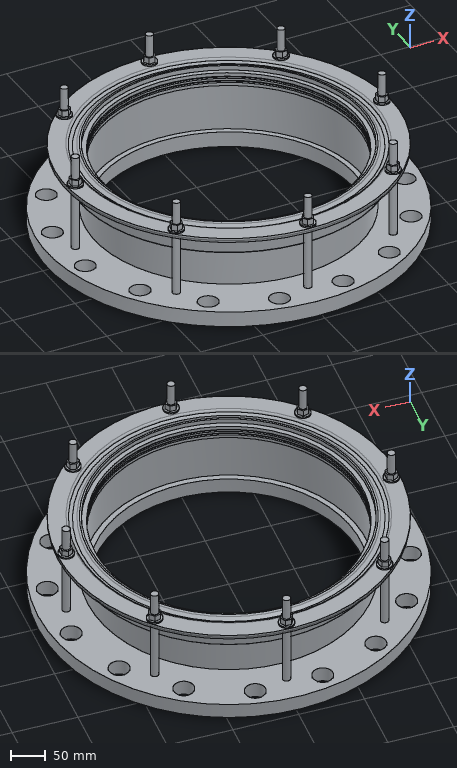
import cadquery as cq
import math

FLANGE_RADIUS = 290.0
FLANGE_THICKNESS = 25.0
BORE_RADIUS = 200.0
BOLT_HOLE_COUNT = 16
BOLT_HOLE_DIAMETER = 31.5
BOLT_HOLE_CIRCLE_RADIUS = 263.0

SLEEVE_INNER_RADIUS = 209.0
SLEEVE_OUTER_RADIUS = 214.0

BODY_BOTTOM_Z = 90.5
BODY_TOP_Z = 118.5
BODY_BOTTOM_RADIUS = 236.0
BODY_TOP_RADIUS = 238.0
BODY_CORNER = 2.0

RIM_PLATE_THICKNESS = 3.5
RIM_TOP_Z = 130.5
RIM_JOINT_Z = RIM_TOP_Z - RIM_PLATE_THICKNESS
RIM_BOTTOM_Z = RIM_JOINT_Z - RIM_PLATE_THICKNESS
RIM_RADIUS = 260.5
RIM_TAPER = 0.5
RIM_MOUTH_RADIUS = 229.5
RIM_FLARE = RIM_BOTTOM_Z - BODY_TOP_Z

CHANNEL_RADIUS = 224.0
CHANNEL_Z = 125.0
BEAD_SLOPE_RADIUS = 217.5
BEAD_SLOPE_Z = 129.0
BEAD_OUTER_RADIUS = 214.0
BEAD_INNER_RADIUS = 211.0
BEAD_TOP_Z = 130.0
LIP_RADIUS = 203.5
LIP_TOP_Z = 122.5
LIP_BOTTOM_Z = 101.0
LIP_GROOVE_HEIGHTS = (115.0, 108.0)
LIP_GROOVE_WIDTH = 3.5
LIP_GROOVE_DEPTH = 0.85

STUD_COUNT = 8
STUD_CIRCLE_RADIUS = 247.0
STUD_DIAMETER = 12.0
STUD_TOP_Z = 178.0
WASHER_DIAMETER = 24.0
WASHER_THICKNESS = 2.5
NUT_ACROSS_FLATS = 16.0
NUT_HEIGHT = 10.0


def make_housing():
    """Flange, sleeve, body, rim and gasket revolved as one section in (radius, height)."""
    arc_midpoint = math.sqrt(0.5)
    flare_radius = BODY_TOP_RADIUS + RIM_FLARE
    mouth_edge_radius = RIM_MOUTH_RADIUS + RIM_PLATE_THICKNESS
    channel_run = RIM_MOUTH_RADIUS - CHANNEL_RADIUS
    channel_drop = RIM_JOINT_Z - CHANNEL_Z

    section = (
        cq.Workplane("XZ")
        .moveTo(BORE_RADIUS, 0)
        .lineTo(FLANGE_RADIUS, 0)
        .lineTo(FLANGE_RADIUS, FLANGE_THICKNESS)
        .lineTo(SLEEVE_OUTER_RADIUS, FLANGE_THICKNESS)
        .lineTo(SLEEVE_OUTER_RADIUS, BODY_BOTTOM_Z)
        .lineTo(BODY_BOTTOM_RADIUS - BODY_CORNER, BODY_BOTTOM_Z)
        .lineTo(BODY_BOTTOM_RADIUS, BODY_BOTTOM_Z + BODY_CORNER)
        .lineTo(BODY_TOP_RADIUS, BODY_TOP_Z)
        .threePointArc(
            (flare_radius - RIM_FLARE * arc_midpoint, RIM_BOTTOM_Z - RIM_FLARE * (1 - arc_midpoint)),
            (flare_radius, RIM_BOTTOM_Z),
        )
        .lineTo(RIM_RADIUS - RIM_TAPER, RIM_BOTTOM_Z)
        .lineTo(RIM_RADIUS, RIM_JOINT_Z)
        .lineTo(RIM_RADIUS, RIM_TOP_Z)
        .lineTo(mouth_edge_radius, RIM_TOP_Z)
        .threePointArc(
            (
                mouth_edge_radius - RIM_PLATE_THICKNESS * arc_midpoint,
                RIM_JOINT_Z + RIM_PLATE_THICKNESS * arc_midpoint,
            ),
            (RIM_MOUTH_RADIUS, RIM_JOINT_Z),
        )
        .threePointArc(
            (CHANNEL_RADIUS + channel_run * arc_midpoint, RIM_JOINT_Z - channel_drop * arc_midpoint),
            (CHANNEL_RADIUS, CHANNEL_Z),
        )
        .lineTo(BEAD_SLOPE_RADIUS, BEAD_SLOPE_Z)
        .lineTo(BEAD_OUTER_RADIUS, BEAD_TOP_Z)
        .lineTo(BEAD_INNER_RADIUS, BEAD_TOP_Z)
        .lineTo(BEAD_INNER_RADIUS, LIP_TOP_Z)
        .lineTo(LIP_RADIUS, LIP_TOP_Z)
    )
    for groove_z in LIP_GROOVE_HEIGHTS:
        section = (
            section.lineTo(LIP_RADIUS, groove_z + LIP_GROOVE_WIDTH / 2)
            .lineTo(LIP_RADIUS + LIP_GROOVE_DEPTH, groove_z)
            .lineTo(LIP_RADIUS, groove_z - LIP_GROOVE_WIDTH / 2)
        )
    section = (
        section.lineTo(LIP_RADIUS, LIP_BOTTOM_Z)
        .lineTo(SLEEVE_INNER_RADIUS, LIP_BOTTOM_Z)
        .lineTo(SLEEVE_INNER_RADIUS, FLANGE_THICKNESS)
        .lineTo(BORE_RADIUS, FLANGE_THICKNESS)
        .close()
    )
    return section.revolve(360, (0, 0, 0), (0, 1, 0))


def make_bolt_holes():
    """Cutters for the flange holes, set half a pitch away from the X axis."""
    half_pitch = 180 / BOLT_HOLE_COUNT
    return (
        cq.Workplane("XY")
        .polarArray(BOLT_HOLE_CIRCLE_RADIUS, half_pitch, 360, BOLT_HOLE_COUNT)
        .circle(BOLT_HOLE_DIAMETER / 2)
        .extrude(FLANGE_THICKNESS)
    )


def make_stud():
    """One stud standing on the flange, with its washer and nut on top of the rim."""
    nut_across_corners = NUT_ACROSS_FLATS / math.cos(math.pi / 6)
    stud = (
        cq.Workplane("XY", origin=(0, 0, FLANGE_THICKNESS))
        .circle(STUD_DIAMETER / 2)
        .extrude(STUD_TOP_Z - FLANGE_THICKNESS)
    )
    washer = (
        cq.Workplane("XY", origin=(0, 0, RIM_TOP_Z))
        .circle(WASHER_DIAMETER / 2)
        .extrude(WASHER_THICKNESS)
    )
    nut = (
        cq.Workplane("XY", origin=(0, 0, RIM_TOP_Z + WASHER_THICKNESS))
        .polygon(6, nut_across_corners)
        .extrude(NUT_HEIGHT)
        .rotate((0, 0, 0), (0, 0, 1), 90)
    )
    return stud.union(washer).union(nut).translate((STUD_CIRCLE_RADIUS, 0, 0))


result = make_housing().cut(make_bolt_holes())
stud = make_stud()
for index in range(STUD_COUNT):
    angle = index * 360 / STUD_COUNT
    result = result.union(stud.rotate((0, 0, 0), (0, 0, 1), angle))